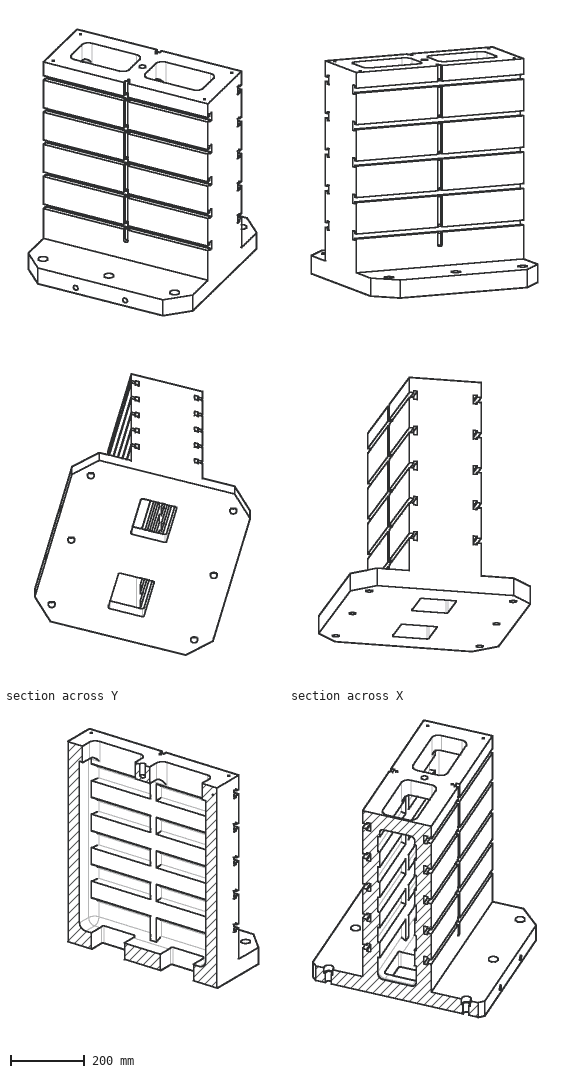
import cadquery as cq
import math

width = 500.0
height = 600.0
base_height = 50.0
base_corner_chamfer = 60.0

column_depth = 200.0

slot_count = 5
slot_pitch = 100.0
top_slot_drop = 50.0
slot_mouth_height = 14.0
slot_head_height = 24.0
slot_mouth_depth = 12.0
slot_depth = 22.0

groove_width = 13.0
groove_depth = 10.0
groove_bottom = 103.0

cap_thickness = 50.0
opening_length = 175.0
opening_width = 100.0
opening_radius = 20.0
opening_center = 112.0

cavity_length = 420.0
cavity_width = 120.0
cavity_radius = 20.0
bridge_cove_radius = 20.0
end_cove_radius = 10.0

slot_rib_height = 50.5
groove_rib_width = 20.0

window_length = 110.0
window_radius = 5.0
window_center = 115.0

mount_pitch = 200.0
mount_bore_diameter = 18.0
mount_counterbore_diameter = 26.0
mount_counterbore_depth = 18.0

drill_tip_angle = 118.0
side_hole_diameter = 14.0
side_hole_spacing = 150.0
side_hole_height = 18.0
side_hole_depth = 30.0
lift_hole_diameter = 17.5
lift_hole_depth = 35.0
pin_hole_diameter = 5.0
pin_hole_depth = 12.0
pin_offset_x = 230.0
pin_offset_y = 81.0

column_face = column_depth / 2
cavity_wall = cavity_width / 2
rib_face = opening_width / 2
rib_depth = cavity_wall - rib_face
cavity_top = height - cap_thickness
slot_heights = [height - top_slot_drop - i * slot_pitch for i in range(slot_count)]


def block(length, depth, bottom, top):
    """Box centred on the Z axis between two heights."""
    return cq.Workplane("XY", origin=(0, 0, bottom)).rect(length, depth).extrude(top - bottom)


def base_plate():
    return block(width, width, 0, base_height).edges("|Z").chamfer(base_corner_chamfer)


def t_slot(side, z):
    """T-slot along X in the column face on the given Y side."""
    head_depth = slot_depth - slot_mouth_depth
    mouth_y = side * (column_face - slot_mouth_depth / 2)
    head_y = side * (column_face - slot_mouth_depth - head_depth / 2)
    mouth = cq.Workplane("XY", origin=(0, mouth_y, z)).box(width, slot_mouth_depth, slot_mouth_height)
    head = cq.Workplane("XY", origin=(0, head_y, z)).box(width, head_depth, slot_head_height)
    return mouth.union(head)


def groove(side):
    """Vertical groove with a round lower end, open at the top."""
    radius = groove_width / 2
    end_center = groove_bottom + radius
    return (
        cq.Workplane("XZ", origin=(0, side * column_face, 0))
        .moveTo(-radius, height)
        .lineTo(-radius, end_center)
        .threePointArc((0, groove_bottom), (radius, end_center))
        .lineTo(radius, height)
        .close()
        .extrude(side * groove_depth)
    )


def flared_rib(origin, along, inward, face_width, length):
    """Rib standing on a wall, its flanks flared into the wall by a concave radius.

    The origin lies on the wall at the start of the rib, inward points away from the wall.
    """
    half = face_width / 2
    root = half + rib_depth
    bend = rib_depth * (1 - math.sqrt(0.5))
    plane = cq.Plane(origin=origin, xDir=inward, normal=along)
    return (
        cq.Workplane(plane)
        .moveTo(0, -root)
        .threePointArc((bend, -half - bend), (rib_depth, -half))
        .lineTo(rib_depth, half)
        .threePointArc((bend, half + bend), (0, root))
        .close()
        .extrude(length)
    )


def slot_rib(side, z):
    origin = (-cavity_length / 2, side * cavity_wall, z)
    return flared_rib(origin, (1, 0, 0), (0, -side, 0), slot_rib_height, cavity_length)


def groove_rib(side):
    origin = (0, side * cavity_wall, base_height)
    return flared_rib(origin, (0, 0, 1), (0, -side, 0), groove_rib_width, cavity_top - base_height)


def ceiling_cove(side, start, end, radius):
    """Concave fillet along X between the cavity ceiling and the face of the top rib."""
    face = side * rib_face
    bend = radius * (1 - math.sqrt(0.5))
    return (
        cq.Workplane("YZ", origin=(start, 0, 0))
        .moveTo(face, cavity_top)
        .lineTo(face, cavity_top - radius)
        .threePointArc((face - side * bend, cavity_top - bend), (face - side * radius, cavity_top))
        .close()
        .extrude(end - start)
    )


def cavity():
    """Hollow of the column, less the ribs and coves that stand inside it."""
    hollow = block(cavity_length, cavity_width, base_height, cavity_top)
    hollow = hollow.edges("|Z or <Z").fillet(cavity_radius)
    end = cavity_length / 2
    for side in (-1, 1):
        hollow = hollow.cut(groove_rib(side))
        for z in slot_heights:
            hollow = hollow.cut(slot_rib(side, z))
        hollow = hollow.cut(ceiling_cove(side, -opening_center, opening_center, bridge_cove_radius))
        hollow = hollow.cut(ceiling_cove(side, -end, -opening_center, end_cove_radius))
        hollow = hollow.cut(ceiling_cove(side, opening_center, end, end_cove_radius))
    return hollow


def rounded_cut(center_x, length, radius, bottom, top):
    cutter = block(length, opening_width, bottom, top).edges("|Z").fillet(radius)
    return cutter.translate((center_x, 0, 0))


def mounting_hole(x, y):
    bore = cq.Workplane("XY", origin=(x, y, 0)).circle(mount_bore_diameter / 2).extrude(base_height)
    counterbore = cq.Workplane("XY", origin=(x, y, base_height)).circle(mount_counterbore_diameter / 2)
    return bore.union(counterbore.extrude(-mount_counterbore_depth))


def drilled_hole(diameter, depth, mouth, direction):
    """Blind hole with a conical tip, drilled from the mouth point along a direction."""
    radius = diameter / 2
    tip_length = radius / math.tan(math.radians(drill_tip_angle / 2))
    start = cq.Vector(*mouth)
    axis = cq.Vector(*direction)
    shank = cq.Solid.makeCylinder(radius, depth, start, axis)
    tip = cq.Solid.makeCone(radius, 0, tip_length, start + axis * depth, axis)
    return cq.Workplane(shank.fuse(tip))


column = block(width, column_depth, base_height, height)
result = base_plate().union(column)

for side in (-1, 1):
    result = result.cut(groove(side))
    for z in slot_heights:
        result = result.cut(t_slot(side, z))

result = result.cut(cavity())
opening_bottom = cavity_top - bridge_cove_radius
window_top = base_height + cavity_radius
for side in (-1, 1):
    opening_x = side * opening_center
    window_x = side * window_center
    result = result.cut(rounded_cut(opening_x, opening_length, opening_radius, opening_bottom, height))
    result = result.cut(rounded_cut(window_x, window_length, window_radius, 0, window_top))

for x in (-mount_pitch, 0, mount_pitch):
    for y in (-mount_pitch, mount_pitch):
        result = result.cut(mounting_hole(x, y))

for x in (-side_hole_spacing / 2, side_hole_spacing / 2):
    mouth = (x, -width / 2, side_hole_height)
    result = result.cut(drilled_hole(side_hole_diameter, side_hole_depth, mouth, (0, 1, 0)))

result = result.cut(drilled_hole(lift_hole_diameter, lift_hole_depth, (0, 0, height), (0, 0, -1)))
for x in (-pin_offset_x, 0, pin_offset_x):
    for y in (-pin_offset_y, pin_offset_y):
        result = result.cut(drilled_hole(pin_hole_diameter, pin_hole_depth, (x, y, height), (0, 0, -1)))